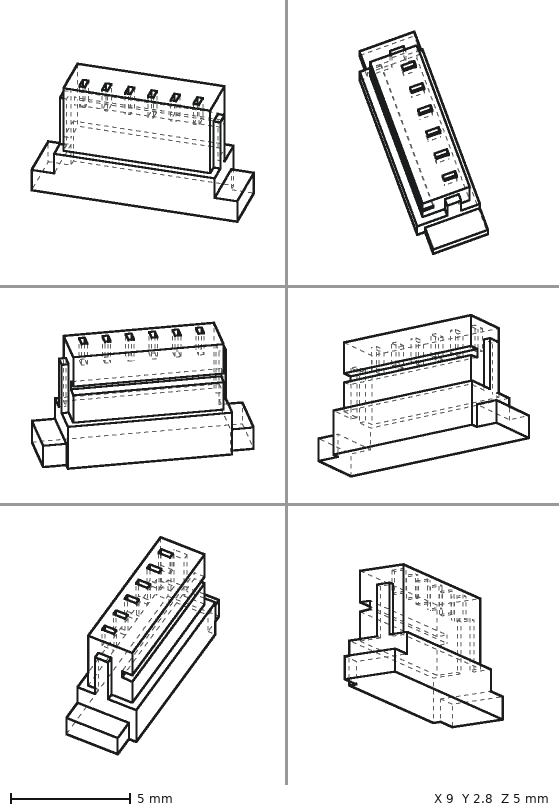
import cadquery as cq

flange_length = 9.0
flange_width = 2.45
flange_height = 1.0
block_length = 7.02
block_width = 2.8
block_height = 1.95

plug_length = 6.43
plug_front = 0.35
plug_back = flange_width
total_height = 5.0

key_front = 0.84
key_back = 1.46
key_top = 4.2

groove_depth = 0.49
groove_top = 3.64
groove_floor_inner = 3.28
groove_floor_outer = 3.23

slot_count = 6
slot_pitch = 1.0
slot_length = 0.24
slot_front = 0.69
slot_back = 1.25
slot_depth = 1.0


def centred_box(length, front, back, bottom, top):
    """Box centred on X, spanning front..back in Y and bottom..top in Z."""
    box = cq.Workplane("XY").box(length, back - front, top - bottom, centered=(True, False, False))
    return box.translate((0, front, bottom))


def make_body():
    flange = centred_box(flange_length, 0, flange_width, 0, flange_height)
    block = centred_box(block_length, 0, block_width, 0, block_height)
    plug = centred_box(plug_length, plug_front, plug_back, 0, total_height)
    keys = centred_box(block_length, key_front, key_back, 0, key_top)
    return flange.union(block).union(plug).union(keys)


def make_latch_groove():
    groove_inner = plug_back - groove_depth
    return (
        cq.Workplane("YZ")
        .moveTo(groove_inner, groove_floor_inner)
        .lineTo(plug_back, groove_floor_outer)
        .lineTo(plug_back, groove_top)
        .lineTo(groove_inner, groove_top)
        .close()
        .extrude(plug_length / 2, both=True)
    )


def cut_contact_slots(body):
    slot = centred_box(slot_length, slot_front, slot_back, total_height - slot_depth, total_height)
    for index in range(slot_count):
        slot_x = (index - (slot_count - 1) / 2) * slot_pitch
        body = body.cut(slot.translate((slot_x, 0, 0)))
    return body


result = cut_contact_slots(make_body().cut(make_latch_groove()))